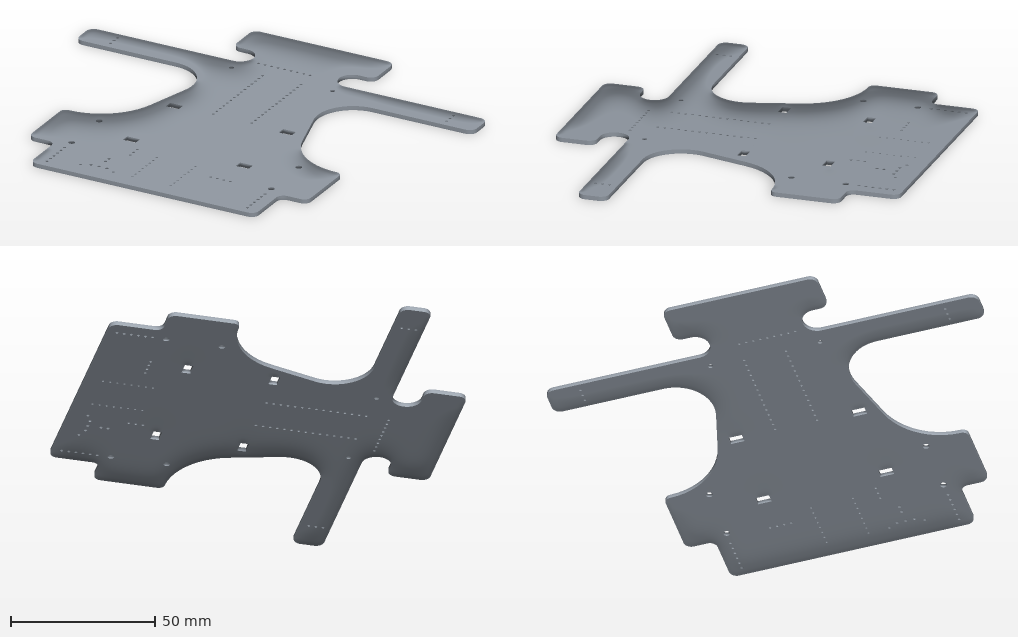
import cadquery as cq
import math

LENGTH = 131.5
THICKNESS = 1.5
TAIL_HALF_WIDTH = 44.5
WING_HALF_WIDTH = 55.1
WING_BOTTOM = 18.4
ARM_HALF_SPAN = 78.5
ARM_BOTTOM = 95.5
ARM_WIDTH = 10.8
ARM_TOP = ARM_BOTTOM + ARM_WIDTH
HEAD_HALF_WIDTH = 28.0

NOTCH_RADIUS = 5.2
NOTCH_CENTER_X = 22.1
HEAD_BOTTOM = ARM_TOP + 2 * NOTCH_RADIUS

UPPER_RADIUS = 14.0
UPPER_CENTER = (38.8, ARM_BOTTOM - UPPER_RADIUS)
LOWER_RADIUS = 23.5
LOWER_CENTER = (52.8, 67.2)
WING_TOP = LOWER_CENTER[1] - LOWER_RADIUS

TAIL_CORNER = 2.8
WING_TOP_CORNER = 2.2
ARM_CORNER = 3.0
HEAD_CORNER = 3.0

FINE_PIN = 0.77
SMALL_PIN = 1.0
SIDE_PIN = 1.1
LARGE_PIN = 1.2
SHOULDER_HOLE = 1.7
MOUNTING_HOLE = 2.4

PITCH = 25.5 / 10

SHOULDER_HOLE_AT = (20.0, 101.1)
WING_HOLE_X = 39.4
WING_HOLE_YS = (21.0, 41.0)

NECK_ROW_START = (-13.3, 108.6)
NECK_PIN_COUNT = 9
LONG_HEADER_XS = (-7.4, 7.8)
LONG_HEADER_BOTTOM = 64.8
LONG_HEADER_COUNT = 15
ARM_TIP_XS = (-66.3, 66.4)
ARM_TIP_BOTTOM = 98.5
ARM_TIP_COUNT = 3

FINE_HEADER_XS = (-7.5, 7.7)
FINE_HEADER_BOTTOM = 6.5
FINE_HEADER_COUNT = 8
LEFT_COLUMN_START = (-16.6, 21.7)
LEFT_COLUMN_COUNT = 3
RIGHT_ROW_START = (16.5, 19.3)
RIGHT_ROW_COUNT = 4

TAIL_COLUMN_X = 39.5
TAIL_COLUMN_BOTTOM = 3.5
TAIL_COLUMN_COUNT = 6

CLUSTER_X = -21.7
CLUSTER_PITCH = 3.1
CLUSTER_ROW_Y = 8.3
CLUSTER_ROW_COUNT = 3
CLUSTER_PAIR_BOTTOM = 13.0
CLUSTER_PAIR_COUNT = 2
CLUSTER_END_OFFSET = 6.5
CLUSTER_END_Y = 6.8

WINDOW_SIZE = (5.0, 3.1)
WINDOW_X = 22.3
WINDOW_YS = (33.0, 64.0)


def on_circle(center, radius, angle):
    """Point on a circle at an angle in radians."""
    return (center[0] + radius * math.cos(angle), center[1] + radius * math.sin(angle))


def waist_tangent_angle():
    """Direction from either arc centre to its point on the common tangent, on the body side."""
    dx = UPPER_CENTER[0] - LOWER_CENTER[0]
    dy = UPPER_CENTER[1] - LOWER_CENTER[1]
    center_direction = math.atan2(dy, dx)
    return center_direction + math.acos((LOWER_RADIUS - UPPER_RADIUS) / math.hypot(dx, dy))


def half_plate():
    """Right half of the plate, with square corners."""
    tangent = waist_tangent_angle()
    lower_middle = (tangent + 1.5 * math.pi) / 2
    upper_middle = (tangent + 0.5 * math.pi) / 2
    notch_center_y = ARM_TOP + NOTCH_RADIUS
    return (
        cq.Workplane("XY")
        .lineTo(TAIL_HALF_WIDTH, 0)
        .lineTo(TAIL_HALF_WIDTH, WING_BOTTOM)
        .lineTo(WING_HALF_WIDTH, WING_BOTTOM)
        .lineTo(WING_HALF_WIDTH, WING_TOP)
        .lineTo(LOWER_CENTER[0], WING_TOP)
        .threePointArc(
            on_circle(LOWER_CENTER, LOWER_RADIUS, lower_middle),
            on_circle(LOWER_CENTER, LOWER_RADIUS, tangent),
        )
        .lineTo(*on_circle(UPPER_CENTER, UPPER_RADIUS, tangent))
        .threePointArc(
            on_circle(UPPER_CENTER, UPPER_RADIUS, upper_middle),
            (UPPER_CENTER[0], ARM_BOTTOM),
        )
        .lineTo(ARM_HALF_SPAN, ARM_BOTTOM)
        .lineTo(ARM_HALF_SPAN, ARM_TOP)
        .lineTo(NOTCH_CENTER_X, ARM_TOP)
        .threePointArc(
            (NOTCH_CENTER_X - NOTCH_RADIUS, notch_center_y),
            (NOTCH_CENTER_X, HEAD_BOTTOM),
        )
        .lineTo(HEAD_HALF_WIDTH, HEAD_BOTTOM)
        .lineTo(HEAD_HALF_WIDTH, LENGTH)
        .lineTo(0, LENGTH)
        .close()
        .extrude(THICKNESS)
    )


def round_corner(body, x, y, radius):
    """Fillet the upright edge nearest to (x, y)."""
    corner = cq.selectors.NearestToPointSelector((x, y, THICKNESS / 2))
    return body.edges("|Z").edges(corner).fillet(radius)


def plate():
    """Whole plate with rounded corners."""
    corners = [
        (TAIL_HALF_WIDTH, 0, TAIL_CORNER),
        (TAIL_HALF_WIDTH, WING_BOTTOM, TAIL_CORNER),
        (WING_HALF_WIDTH, WING_BOTTOM, TAIL_CORNER),
        (WING_HALF_WIDTH, WING_TOP, WING_TOP_CORNER),
        (ARM_HALF_SPAN, ARM_BOTTOM, ARM_CORNER),
        (ARM_HALF_SPAN, ARM_TOP, ARM_CORNER),
        (HEAD_HALF_WIDTH, HEAD_BOTTOM, HEAD_CORNER),
        (HEAD_HALF_WIDTH, LENGTH, HEAD_CORNER),
    ]
    half = half_plate()
    for x, y, radius in corners:
        half = round_corner(half, x, y, radius)
    return half.union(half.mirror("YZ")).clean()


def column(x, bottom, count):
    """Points running up from (x, bottom)."""
    return [(x, bottom + i * PITCH) for i in range(count)]


def row(left, y, count, pitch=PITCH):
    """Points running right from (left, y)."""
    return [(left + i * pitch, y) for i in range(count)]


def mirrored(x, y):
    """A point and its mirror image across X = 0."""
    return [(-x, y), (x, y)]


def drill(body, points, diameter):
    """Through holes of one diameter."""
    holes = cq.Workplane("XY").pushPoints(points).circle(diameter / 2).extrude(THICKNESS)
    return body.cut(holes)


def cut_windows(body):
    """Four rectangular windows, two on each side."""
    points = [point for y in WINDOW_YS for point in mirrored(WINDOW_X, y)]
    windows = cq.Workplane("XY").pushPoints(points).rect(*WINDOW_SIZE).extrude(THICKNESS)
    return body.cut(windows)


def drill_screw_holes(body):
    """Shoulder holes and larger wing holes."""
    body = drill(body, mirrored(*SHOULDER_HOLE_AT), SHOULDER_HOLE)
    wing_points = [point for y in WING_HOLE_YS for point in mirrored(WING_HOLE_X, y)]
    return drill(body, wing_points, MOUNTING_HOLE)


def drill_upper_pins(body):
    """Neck row, long double header and arm-tip columns."""
    points = row(*NECK_ROW_START, NECK_PIN_COUNT)
    for x in LONG_HEADER_XS:
        points += column(x, LONG_HEADER_BOTTOM, LONG_HEADER_COUNT)
    for x in ARM_TIP_XS:
        points += column(x, ARM_TIP_BOTTOM, ARM_TIP_COUNT)
    return drill(body, points, SMALL_PIN)


def drill_lower_pins(body):
    """Fine double header, left column and right row."""
    for x in FINE_HEADER_XS:
        body = drill(body, column(x, FINE_HEADER_BOTTOM, FINE_HEADER_COUNT), FINE_PIN)
    points = column(*LEFT_COLUMN_START, LEFT_COLUMN_COUNT) + row(*RIGHT_ROW_START, RIGHT_ROW_COUNT)
    return drill(body, points, SMALL_PIN)


def drill_tail_pins(body):
    """Columns along both tail edges."""
    for x in (-TAIL_COLUMN_X, TAIL_COLUMN_X):
        body = drill(body, column(x, TAIL_COLUMN_BOTTOM, TAIL_COLUMN_COUNT), SIDE_PIN)
    return body


def drill_cluster(body):
    """Lower left cluster of large pins with a small pin beyond each end."""
    row_left = CLUSTER_X - CLUSTER_PITCH * (CLUSTER_ROW_COUNT - 1) / 2
    large = row(row_left, CLUSTER_ROW_Y, CLUSTER_ROW_COUNT, CLUSTER_PITCH)
    large += column(CLUSTER_X, CLUSTER_PAIR_BOTTOM, CLUSTER_PAIR_COUNT)
    small = [(CLUSTER_X + side * CLUSTER_END_OFFSET, CLUSTER_END_Y) for side in (-1, 1)]
    return drill(drill(body, large, LARGE_PIN), small, SMALL_PIN)


result = plate()
result = cut_windows(result)
result = drill_screw_holes(result)
result = drill_upper_pins(result)
result = drill_lower_pins(result)
result = drill_tail_pins(result)
result = drill_cluster(result)

result = result.translate((0, -LENGTH / 2, -THICKNESS / 2))